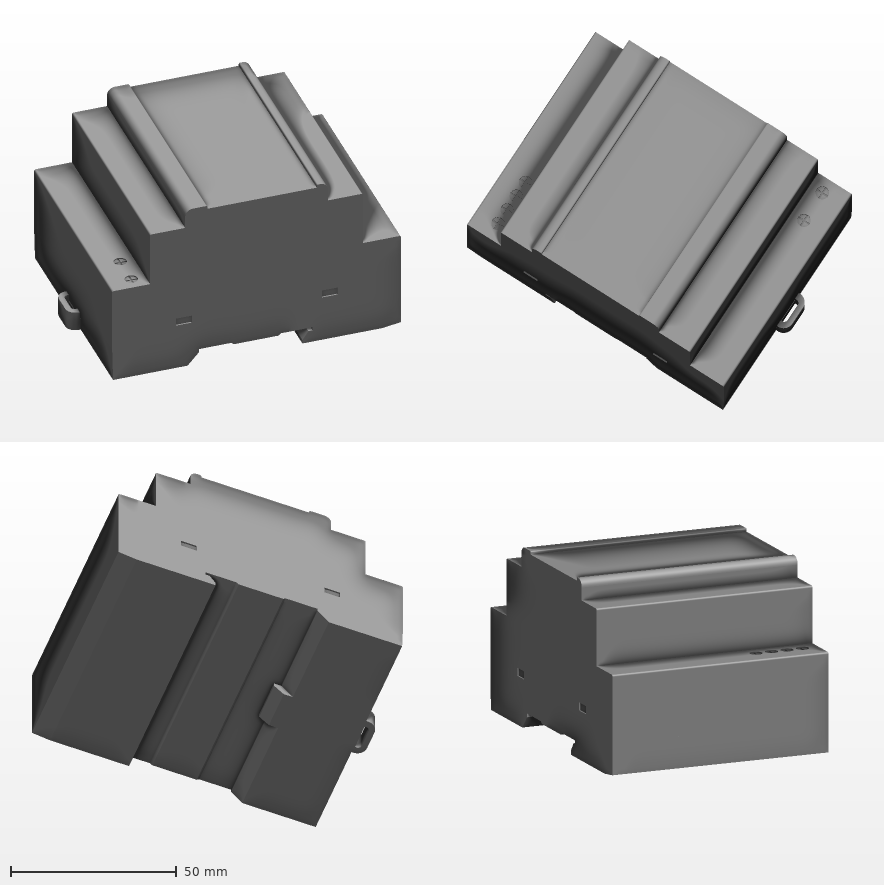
import cadquery as cq


width = 71.0
total_depth = 95.8
body_depth = 92.2
half_depth = body_depth / 2
total_height = 56.2
split_height = 10.8

terminal_height = 32.0
shoulder_height = 49.8
shoulder_half_depth = 34.0
crown_half_depth = 22.8
crown_radius = 2.4
step_radius = 0.6

panel_height = 55.2
panel_back = 19.25
panel_front = -15.7
rib_lip_radius = 0.43

window_length = 5.1
window_height = 2.5
window_depth = 0.5
window_z = 16.5
window_centres_y = (23.4, -23.2)

screw_diameter = 4.0
screw_recess = 0.4
slot_width = 0.53
slot_depth = 0.3
screw_pitch = 5.1
screw_row_y = 38.4
output_screw_x = -30.3
output_screw_count = 4
input_screw_x = 20.8
input_screw_count = 2
input_screw_pitch = 2 * screw_pitch

front_draft = 0.3
heel_start_y = 40.2
heel_height = 0.9
notch_top = 5.2
notch_back = 17.9
notch_front = -18.4
notch_ramp_foot = -22.0
hook_top = 4.0
fixed_hook_root = 16.6
fixed_hook_tip = 14.7
fixed_hook_lip = 1.2
pad_bottom = 4.5
pad_top_front = -8.0
pad_top_back = 7.9
pad_ramp = 0.8

latch_width = 12.2
latch_tip = -15.9
latch_tip_bottom = 2.8
latch_ramp_foot = -19.1
loop_reach = total_depth - body_depth
loop_height = 6.3
loop_radius = 3.2
loop_side_wall = 2.1
loop_front_wall = 1.8
loop_inner_radius = 1.15


def extrude_across(outline, length):
    """Extrude a closed (Y, Z) outline along X, centred on X = 0."""
    return cq.Workplane("YZ").polyline(outline).close().extrude(length / 2, both=True)


def edge_along_x(y, z):
    """Selector for the edge that runs along X through the point (y, z)."""
    reach = 0.1
    return cq.selectors.BoxSelector((-reach, y - reach, z - reach), (reach, y + reach, z + reach))


def stepped_block():
    outline = [
        (-half_depth, split_height),
        (half_depth, split_height),
        (half_depth, terminal_height),
        (shoulder_half_depth, terminal_height),
        (shoulder_half_depth, shoulder_height),
        (crown_half_depth, shoulder_height),
        (crown_half_depth, total_height),
        (panel_back, total_height),
        (panel_back, panel_height),
        (panel_front, panel_height),
        (panel_front, total_height),
        (-crown_half_depth, total_height),
        (-crown_half_depth, shoulder_height),
        (-shoulder_half_depth, shoulder_height),
        (-shoulder_half_depth, terminal_height),
        (-half_depth, terminal_height),
    ]
    block = extrude_across(outline, width)
    rounded_edges = [
        (panel_back, total_height, rib_lip_radius),
        (panel_front, total_height, rib_lip_radius),
    ]
    for side in (1, -1):
        rounded_edges += [
            (side * crown_half_depth, total_height, crown_radius),
            (side * shoulder_half_depth, shoulder_height, step_radius),
            (side * half_depth, terminal_height, step_radius),
        ]
    for y, z, radius in rounded_edges:
        block = block.edges(edge_along_x(y, z)).fillet(radius)
    return block


def side_windows():
    """Shallow pockets in both side walls."""
    centres = [(side * width / 2, y) for side in (1, -1) for y in window_centres_y]
    return (
        cq.Workplane("XY", origin=(0, 0, window_z - window_height / 2))
        .pushPoints(centres)
        .rect(2 * window_depth, window_length)
        .extrude(window_height)
    )


def screw_row(first_x, y, count, pitch):
    return [(first_x + i * pitch, y) for i in range(count)]


def screw_recesses():
    """Round recesses with a cross slot reaching across the screw head at the bottom."""
    centres = screw_row(output_screw_x, screw_row_y, output_screw_count, screw_pitch)
    centres += screw_row(input_screw_x, -screw_row_y, input_screw_count, input_screw_pitch)
    full_depth = screw_recess + slot_depth
    step = cq.Workplane("XY", origin=(0, 0, terminal_height)).pushPoints(centres)
    recess = step.circle(screw_diameter / 2).extrude(-screw_recess)
    slot_x = step.rect(screw_diameter, slot_width).extrude(-full_depth)
    slot_y = step.rect(slot_width, screw_diameter).extrude(-full_depth)
    head_limit = step.circle(screw_diameter / 2).extrude(-full_depth)
    return recess.union(slot_x.union(slot_y).intersect(head_limit))


def make_housing():
    return stepped_block().cut(side_windows()).cut(screw_recesses())


def make_latch():
    slider_outline = [
        (-half_depth, 0),
        (latch_ramp_foot, 0),
        (latch_tip, latch_tip_bottom),
        (latch_tip, hook_top),
        (-half_depth, hook_top),
    ]
    slider = extrude_across(slider_outline, latch_width)

    opening_width = latch_width - 2 * loop_side_wall
    opening_reach = loop_reach - loop_front_wall
    front_face = cq.Workplane("XY", origin=(0, -half_depth, 0))
    loop = (
        front_face.center(0, -loop_reach / 2)
        .rect(latch_width, loop_reach)
        .extrude(loop_height)
        .edges("|Z and <Y")
        .fillet(loop_radius)
    )
    opening = (
        front_face.center(0, -opening_reach / 2)
        .rect(opening_width, opening_reach)
        .extrude(loop_height)
        .edges("|Z and <Y")
        .fillet(loop_inner_radius)
    )
    return slider.union(loop.cut(opening))


def make_base(latch_body):
    """Base with a rail notch across the underside and a channel that the latch fills."""
    outline = [
        (-half_depth, split_height),
        (-half_depth + front_draft, 0),
        (notch_ramp_foot, 0),
        (notch_front, hook_top),
        (notch_front, notch_top),
        (pad_top_front, notch_top),
        (pad_top_front + pad_ramp, pad_bottom),
        (pad_top_back - pad_ramp, pad_bottom),
        (pad_top_back, notch_top),
        (notch_back, notch_top),
        (notch_back, hook_top),
        (fixed_hook_root, hook_top),
        (fixed_hook_tip, fixed_hook_lip),
        (fixed_hook_tip, 0),
        (heel_start_y, 0),
        (half_depth, heel_height),
        (half_depth, split_height),
    ]
    return extrude_across(outline, width).cut(latch_body)


housing = make_housing()
latch = make_latch()
base = make_base(latch)

bodies = (housing, base, latch)
result = cq.Compound.makeCompound([body.solids().val() for body in bodies])